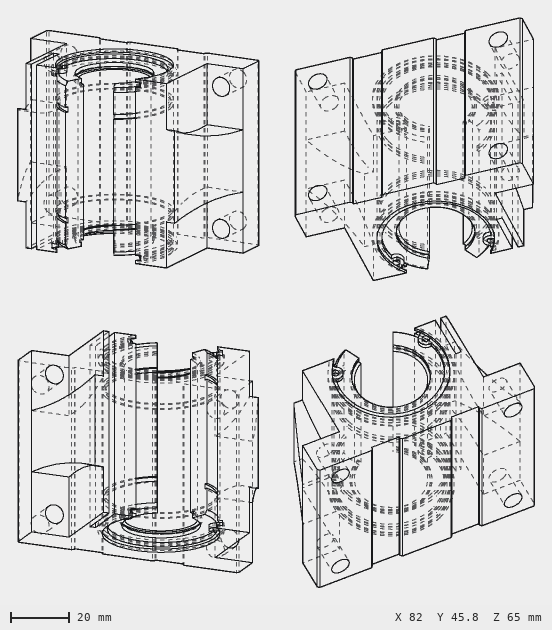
import cadquery as cq
import math

WIDTH = 82.0
HEIGHT = 65.0
DEPTH = 41.2
AXIS_TO_BACK = 28.05
BACK_Y = AXIS_TO_BACK
FRONT_Y = BACK_Y - DEPTH

FLANGE_THICKNESS = 12.05
FLANGE_Y = BACK_Y - FLANGE_THICKNESS
BODY_HALF_WIDTH = 27.15
EDGE_CHAMFER = 0.65
RIB_FRONT_HALF_WIDTH = 30.3
RIB_ROOT_HALF_HEIGHT = 11.0
RIB_FRONT_HALF_HEIGHT = 16.3
RIB_FLANK_RADIUS = 55.8

RELIEF_CENTRE_X = 15.0
RELIEF_WIDTH = 10.3
RELIEF_DEPTH = 1.2

HOLE_DIAMETER = 6.65
HOLE_X = 32.55
HOLE_Z = 25.0

SLIT_X = -24.0
SLIT_WIDTH = 2.05
SLIT_END_Y = 2.95

BORE_RADIUS = 20.0
RING_GROOVE_RADIUS = 21.5
RING_INSET = 1.15
RING_THICKNESS = 1.6
RING_GROOVE_WIDTH = 1.8

RING_INNER_RADIUS = 18.6
RING_ECCENTRICITY = 1.0
LUG_RADIUS = 2.6
LUG_ANGLE = 25.5
LUG_CENTRE_RADIUS = RING_GROOVE_RADIUS - LUG_RADIUS
RING_END_ANGLE = 34.0
LUG_HOLE_DIAMETER = 2.5

BEARING_LENGTH = HEIGHT - 2 * (RING_INSET + RING_GROOVE_WIDTH)
BEARING_CHAMFER_RADIAL = 1.0
BEARING_CHAMFER_AXIAL = 1.5
BEARING_BORE_RADIUS = 12.5
ENTRY_RADIUS = 13.4
ENTRY_LENGTH = 1.5
INNER_GROOVE_RADIUS = 13.9
INNER_GROOVE_WIDTH = 0.7
OUTER_GROOVE_DEPTH = 1.0
OUTER_GROOVE_WIDTH = 1.7
OUTER_GROOVE_INSET = 9.2
MOUTH_HALF_WIDTH = 9.3
MOUTH_HALF_ANGLE = 25.0


def cylinder(radius, length, bottom):
    return cq.Workplane("XY").workplane(offset=bottom).circle(radius).extrude(length)


def prism(points, height):
    """Polygon in XY, extruded symmetrically about Z = 0."""
    return cq.Workplane("XY").polyline(points).close().extrude(height / 2, both=True)


def make_flange():
    flange = cq.Workplane("XY").box(WIDTH, FLANGE_THICKNESS, HEIGHT)
    flange = flange.translate((0, BACK_Y - FLANGE_THICKNESS / 2, 0))
    return flange.edges("|Z and >Y").chamfer(EDGE_CHAMFER)


def make_ribs():
    """Tapering side ribs whose upper and lower flanks are concave."""
    wedge = prism(
        [
            (-WIDTH / 2, FLANGE_Y),
            (WIDTH / 2, FLANGE_Y),
            (RIB_FRONT_HALF_WIDTH, FRONT_Y),
            (-RIB_FRONT_HALF_WIDTH, FRONT_Y),
        ],
        HEIGHT,
    )
    flanks = (
        cq.Workplane("YZ")
        .moveTo(FLANGE_Y, -RIB_ROOT_HALF_HEIGHT)
        .lineTo(FLANGE_Y, RIB_ROOT_HALF_HEIGHT)
        .radiusArc((FRONT_Y, RIB_FRONT_HALF_HEIGHT), RIB_FLANK_RADIUS)
        .lineTo(FRONT_Y, -RIB_FRONT_HALF_HEIGHT)
        .radiusArc((FLANGE_Y, -RIB_ROOT_HALF_HEIGHT), RIB_FLANK_RADIUS)
        .close()
        .extrude(WIDTH / 2, both=True)
    )
    return wedge.intersect(flanks)


def make_relief(centre_x):
    """Shallow channel along Z with chamfered lips."""
    half_width = RELIEF_WIDTH / 2
    lip_y = BACK_Y - EDGE_CHAMFER
    floor_y = BACK_Y - RELIEF_DEPTH
    half_section = [
        (half_width, floor_y),
        (half_width, lip_y),
        (half_width + EDGE_CHAMFER, BACK_Y),
    ]
    mirrored = [(-x, y) for x, y in reversed(half_section)]
    return prism(half_section + mirrored, HEIGHT).translate((centre_x, 0, 0))


def make_housing():
    body = cq.Workplane("XY").box(2 * BODY_HALF_WIDTH, DEPTH, HEIGHT)
    body = body.translate((0, (BACK_Y + FRONT_Y) / 2, 0))
    body = body.union(make_flange()).union(make_ribs())

    for side in (-1, 1):
        body = body.cut(make_relief(side * RELIEF_CENTRE_X))

    holes = (
        cq.Workplane("XZ", origin=(0, BACK_Y, 0))
        .rect(2 * HOLE_X, 2 * HOLE_Z, forConstruction=True)
        .vertices()
        .circle(HOLE_DIAMETER / 2)
        .extrude(FLANGE_THICKNESS)
    )
    body = body.cut(holes)

    slit_length = SLIT_END_Y - FRONT_Y
    slit = cq.Workplane("XY").box(SLIT_WIDTH, slit_length, HEIGHT)
    body = body.cut(slit.translate((SLIT_X, FRONT_Y + slit_length / 2, 0)))

    body = body.cut(cylinder(BORE_RADIUS, HEIGHT, -HEIGHT / 2))
    groove_bottom = HEIGHT / 2 - RING_INSET - RING_GROOVE_WIDTH
    groove = cylinder(RING_GROOVE_RADIUS, RING_GROOVE_WIDTH, groove_bottom)
    return body.cut(groove).cut(groove.mirror("XY"))


def make_bearing():
    half = BEARING_LENGTH / 2
    bearing = (
        cq.Workplane("XZ")
        .moveTo(ENTRY_RADIUS, half)
        .lineTo(BORE_RADIUS - BEARING_CHAMFER_RADIAL, half)
        .lineTo(BORE_RADIUS, half - BEARING_CHAMFER_AXIAL)
        .lineTo(BORE_RADIUS, -half + BEARING_CHAMFER_AXIAL)
        .lineTo(BORE_RADIUS - BEARING_CHAMFER_RADIAL, -half)
        .lineTo(ENTRY_RADIUS, -half)
        .lineTo(ENTRY_RADIUS, -half + ENTRY_LENGTH)
        .lineTo(BEARING_BORE_RADIUS, -half + ENTRY_LENGTH)
        .lineTo(BEARING_BORE_RADIUS, half - ENTRY_LENGTH)
        .lineTo(ENTRY_RADIUS, half - ENTRY_LENGTH)
        .close()
        .revolve(360, (0, 0, 0), (0, 1, 0))
    )

    outer_groove = cylinder(BORE_RADIUS, OUTER_GROOVE_WIDTH, half - OUTER_GROOVE_INSET - OUTER_GROOVE_WIDTH)
    outer_groove = outer_groove.cut(cylinder(BORE_RADIUS - OUTER_GROOVE_DEPTH, BEARING_LENGTH, -half))
    inner_groove_bottom = half - ENTRY_LENGTH - INNER_GROOVE_WIDTH
    inner_groove = cylinder(INNER_GROOVE_RADIUS, INNER_GROOVE_WIDTH, inner_groove_bottom)
    for groove in (outer_groove, inner_groove):
        bearing = bearing.cut(groove).cut(groove.mirror("XY"))

    slope = math.tan(math.radians(MOUTH_HALF_ANGLE))
    mouth_y = -math.sqrt(BORE_RADIUS**2 - MOUTH_HALF_WIDTH**2)
    apex_y = mouth_y + MOUTH_HALF_WIDTH / slope
    far_y = -2 * BORE_RADIUS
    far_half_width = (apex_y - far_y) * slope
    mouth = prism([(0, apex_y), (-far_half_width, far_y), (far_half_width, far_y)], HEIGHT)
    return bearing.cut(mouth)


def make_ring(side):
    """Eccentric open ring with a drilled lug at each end; side is 1 for top, -1 for bottom."""
    ring = cylinder(RING_GROOVE_RADIUS, RING_THICKNESS, 0)
    opening = cylinder(RING_INNER_RADIUS, RING_THICKNESS, 0)
    ring = ring.cut(opening.translate((0, -RING_ECCENTRICITY, 0)))

    lug_x = LUG_CENTRE_RADIUS * math.cos(math.radians(LUG_ANGLE))
    lug_y = -LUG_CENTRE_RADIUS * math.sin(math.radians(LUG_ANGLE))
    for lug_side in (-1, 1):
        lug = cylinder(LUG_RADIUS, RING_THICKNESS, 0)
        ring = ring.union(lug.translate((lug_side * lug_x, lug_y, 0)))

    gap_y = -2 * RING_GROOVE_RADIUS
    gap_half_width = -gap_y / math.tan(math.radians(RING_END_ANGLE))
    gap = prism([(0, 0), (-gap_half_width, gap_y), (gap_half_width, gap_y)], HEIGHT)
    ring = ring.cut(gap)

    for lug_side in (-1, 1):
        hole = cylinder(LUG_HOLE_DIAMETER / 2, RING_THICKNESS, 0)
        ring = ring.cut(hole.translate((lug_side * lug_x, lug_y, 0)))

    ring = ring.translate((0, 0, HEIGHT / 2 - RING_INSET - RING_THICKNESS))
    return ring if side > 0 else ring.mirror("XY")


housing = make_housing()
bearing = make_bearing()
rings = [make_ring(side) for side in (1, -1)]

result = cq.Compound.makeCompound([housing.val(), bearing.val(), *[ring.val() for ring in rings]])